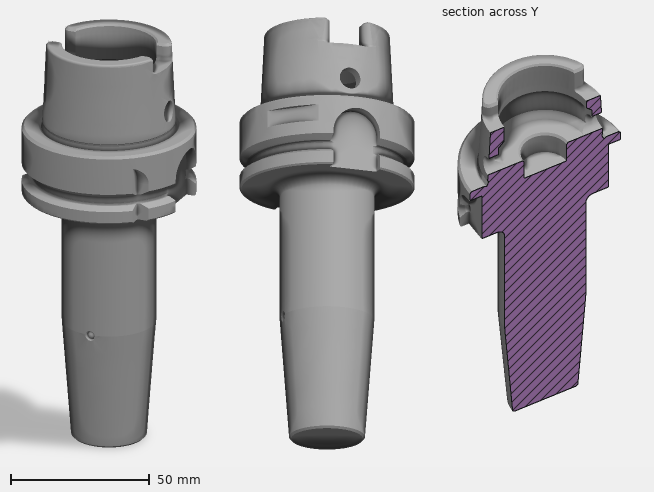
import cadquery as cq
import math

total_height = 152.0

shank_length = 31.9
taper_base_radius = 24.2
taper_ratio = 0.05
rim_fillet = 0.9
flange_top_z = total_height - shank_length
undercut_height = 2.0
undercut_depth = 0.3
undercut_neck_height = 0.6
face_groove_depth = 0.6
face_groove_radius = 24.5
face_groove_mouth_radius = 25.4

flange_radius = 31.5
flange_height = 26.1
flange_bottom_z = flange_top_z - flange_height
flange_chamfer = 0.9
flange_bottom_chamfer = 0.6
groove_radius = 27.5
groove_step_radius = 29.0
groove_corner_fillet = 0.5
groove_top_z = 105.5
groove_upper_step_z = 103.7
groove_lower_step_z = 100.2
groove_bottom_z = 98.8

neck_radius = 17.0
neck_fillet = 3.0
nose_radius = 13.7
nose_taper_height = 44.7
nose_chamfer = 0.8

bore_radius = 17.0
bore_mouth_chamfer = 0.6
bore_mouth_depth = 13.4
cavity_radius = 19.3
cavity_floor_z = 125.1
cavity_floor_bevel = 1.8
cavity_floor_radius = 16.1
thread_hole_radius = 8.8
thread_hole_chamfer = 0.8
thread_hole_depth = 9.1

drive_slot_half_width = 6.2
drive_slot_corner_radius = 2.6
prong_radius = 23.0
drive_slot_fillet = 1.2
drive_slot_chamfer = 0.9
tangent_length = 7.6
deep_slot_floor_z = 142.1
shallow_slot_floor_z = 145.9

cross_hole_radius = 4.0
cross_hole_z = cavity_floor_z + cross_hole_radius

key_slot_half_width = 9.0
key_slot_floor_x = 26.5
key_slot_top_z = 115.5
notch_floor_x = 19.9
notch_wall_y = -19.9
notch_radius = 7.6
notch_center_z = 108.2
flat_distance = 29.8
flat_height = 6.1
flat_center_z = 113.2
flat_angle = 135.0

ball_radius = 1.5
ball_recess = 0.5
ball_z = 44.2
ball_hole_chamfer = 0.5
ball_center_y = neck_radius - ball_recess - ball_radius

clearance = 1.5


def taper_radius(z):
    return taper_base_radius - taper_ratio * (z - flange_top_z)


def make_outer_body():
    undercut_top_z = flange_top_z + undercut_height
    rim_fillet_z = total_height - rim_fillet
    neck_top_z = undercut_top_z - undercut_depth
    groove_floor_z = flange_top_z - face_groove_depth
    undercut_radius = taper_radius(undercut_top_z) - undercut_depth
    profile = (
        cq.Workplane("XZ")
        .moveTo(0, 0)
        .lineTo(nose_radius - nose_chamfer, 0)
        .lineTo(nose_radius, nose_chamfer)
        .lineTo(neck_radius, nose_taper_height)
        .lineTo(neck_radius, flange_bottom_z - neck_fillet)
        .radiusArc((neck_radius + neck_fillet, flange_bottom_z), neck_fillet)
        .lineTo(flange_radius - flange_bottom_chamfer, flange_bottom_z)
        .lineTo(flange_radius, flange_bottom_z + flange_bottom_chamfer)
        .lineTo(flange_radius, groove_bottom_z)
        .lineTo(groove_step_radius, groove_lower_step_z)
        .lineTo(groove_radius + groove_corner_fillet, groove_lower_step_z)
        .radiusArc((groove_radius, groove_lower_step_z + groove_corner_fillet), groove_corner_fillet)
        .lineTo(groove_radius, groove_upper_step_z - groove_corner_fillet)
        .radiusArc((groove_radius + groove_corner_fillet, groove_upper_step_z), groove_corner_fillet)
        .lineTo(groove_step_radius, groove_upper_step_z)
        .lineTo(flange_radius, groove_top_z)
        .lineTo(flange_radius, flange_top_z - flange_chamfer)
        .lineTo(flange_radius - flange_chamfer, flange_top_z)
        .lineTo(face_groove_mouth_radius, flange_top_z)
        .lineTo(face_groove_radius, groove_floor_z)
        .lineTo(undercut_radius, neck_top_z - undercut_neck_height)
        .lineTo(undercut_radius, neck_top_z)
        .lineTo(taper_radius(undercut_top_z), undercut_top_z)
        .lineTo(taper_radius(rim_fillet_z), rim_fillet_z)
        .radiusArc((taper_radius(total_height) - rim_fillet, total_height), -rim_fillet)
        .lineTo(0, total_height)
        .close()
    )
    return profile.revolve(360, (0, 0, 0), (0, 1, 0))


def make_bore():
    mouth_end_z = total_height - bore_mouth_depth
    widening = cavity_radius - bore_radius
    thread_floor_z = cavity_floor_z - thread_hole_depth
    profile = (
        cq.Workplane("XZ")
        .moveTo(0, total_height)
        .lineTo(bore_radius + bore_mouth_chamfer, total_height)
        .lineTo(bore_radius, total_height - bore_mouth_chamfer)
        .lineTo(bore_radius, mouth_end_z)
        .lineTo(cavity_radius, mouth_end_z - widening)
        .lineTo(cavity_radius, cavity_floor_z + cavity_floor_bevel)
        .lineTo(cavity_floor_radius, cavity_floor_z)
        .lineTo(thread_hole_radius + thread_hole_chamfer, cavity_floor_z)
        .lineTo(thread_hole_radius, cavity_floor_z - thread_hole_chamfer)
        .lineTo(thread_hole_radius, thread_floor_z)
        .lineTo(0, thread_floor_z)
        .close()
    )
    return profile.revolve(360, (0, 0, 0), (0, 1, 0))


def draw_drive_slot_outline(z):
    """Slot outline on the +X side.

    Each side runs straight, rounds the prong end until it is square to the radius there, and
    leaves the taper along that tangent.
    """
    arc_center_y = drive_slot_half_width + drive_slot_corner_radius
    arc_center_distance = prong_radius - drive_slot_corner_radius
    run_out_angle = math.asin(arc_center_y / arc_center_distance)
    arc_start_x = arc_center_distance * math.cos(run_out_angle)
    arc_end_x = prong_radius * math.cos(run_out_angle)
    arc_end_y = prong_radius * math.sin(run_out_angle)
    tangent_end_x = arc_end_x - tangent_length * math.sin(run_out_angle)
    tangent_end_y = arc_end_y + tangent_length * math.cos(run_out_angle)
    far_x = taper_base_radius + clearance
    return (
        cq.Workplane("XY", origin=(0, 0, z))
        .moveTo(0, -drive_slot_half_width)
        .lineTo(arc_start_x, -drive_slot_half_width)
        .radiusArc((arc_end_x, -arc_end_y), drive_slot_corner_radius)
        .lineTo(tangent_end_x, -tangent_end_y)
        .lineTo(far_x, -tangent_end_y)
        .lineTo(far_x, tangent_end_y)
        .lineTo(tangent_end_x, tangent_end_y)
        .lineTo(arc_end_x, arc_end_y)
        .radiusArc((arc_start_x, drive_slot_half_width), drive_slot_corner_radius)
        .lineTo(0, drive_slot_half_width)
        .close()
    )


def make_drive_slot(floor_z):
    """Slot with a filleted floor and chamfered upper edges."""
    chamfer_z = total_height - drive_slot_chamfer
    slot = draw_drive_slot_outline(floor_z).extrude(total_height - floor_z + clearance)
    slot = slot.faces("<Z").edges().fillet(drive_slot_fillet)
    flare = draw_drive_slot_outline(chamfer_z).extrude(drive_slot_chamfer, taper=-45)
    return slot.union(flare)


def make_cross_hole():
    return (
        cq.Workplane("YZ", origin=(-flange_radius, 0, cross_hole_z))
        .circle(cross_hole_radius)
        .extrude(2 * flange_radius)
    )


def make_round_top_slot(floor_x, center_y, radius, center_z):
    """Slot with a half-round upper end, open toward +X and downward through the flange."""
    bottom_z = flange_bottom_z - clearance
    return (
        cq.Workplane("YZ", origin=(floor_x, 0, 0))
        .moveTo(center_y - radius, bottom_z)
        .lineTo(center_y - radius, center_z)
        .threePointArc((center_y, center_z + radius), (center_y + radius, center_z))
        .lineTo(center_y + radius, bottom_z)
        .close()
        .extrude(flange_radius)
    )


def make_label_flat():
    return (
        cq.Workplane("XY")
        .box(flange_radius, 2 * flange_radius, flat_height, centered=(False, True, True))
        .translate((flat_distance, 0, flat_center_z))
        .rotate((0, 0, 0), (0, 0, 1), flat_angle)
    )


def make_ball(side):
    ball = (
        cq.Workplane("XY")
        .moveTo(-ball_radius, 0)
        .threePointArc((0, side * ball_radius), (ball_radius, 0))
        .close()
        .revolve(360, (0, 0, 0), (1, 0, 0))
    )
    return ball.translate((0, side * ball_center_y, ball_z))


def make_ball_hole(side):
    """Blind radial hole with a chamfered mouth, ending at the innermost point of its ball."""
    mouth_radius = ball_radius + ball_hole_chamfer
    profile = (
        cq.Workplane("XY")
        .moveTo(0, ball_center_y - ball_radius)
        .lineTo(ball_radius, ball_center_y - ball_radius)
        .lineTo(ball_radius, neck_radius - ball_hole_chamfer)
        .lineTo(mouth_radius, neck_radius)
        .lineTo(mouth_radius, neck_radius + clearance)
        .lineTo(0, neck_radius + clearance)
        .close()
    )
    hole = profile.revolve(360, (0, 0, 0), (0, 1, 0)).translate((0, 0, ball_z))
    return hole if side > 0 else hole.rotate((0, 0, 0), (0, 0, 1), 180)


def make_holder():
    holder = make_outer_body().cut(make_bore())
    key_slot = make_round_top_slot(
        key_slot_floor_x, 0, key_slot_half_width, key_slot_top_z - key_slot_half_width
    )
    holder = holder.cut(make_drive_slot(shallow_slot_floor_z))
    holder = holder.cut(make_drive_slot(deep_slot_floor_z).rotate((0, 0, 0), (0, 0, 1), 180))
    holder = holder.cut(make_cross_hole())
    holder = holder.cut(key_slot).cut(key_slot.rotate((0, 0, 0), (0, 0, 1), 180))
    holder = holder.cut(
        make_round_top_slot(notch_floor_x, notch_wall_y - notch_radius, notch_radius, notch_center_z)
    )
    holder = holder.cut(make_label_flat())
    for side in (-1, 1):
        holder = holder.cut(make_ball_hole(side))
    return holder


holder = make_holder()
balls = [make_ball(side) for side in (-1, 1)]

result = cq.Compound.makeCompound([holder.val(), *[ball.val() for ball in balls]])